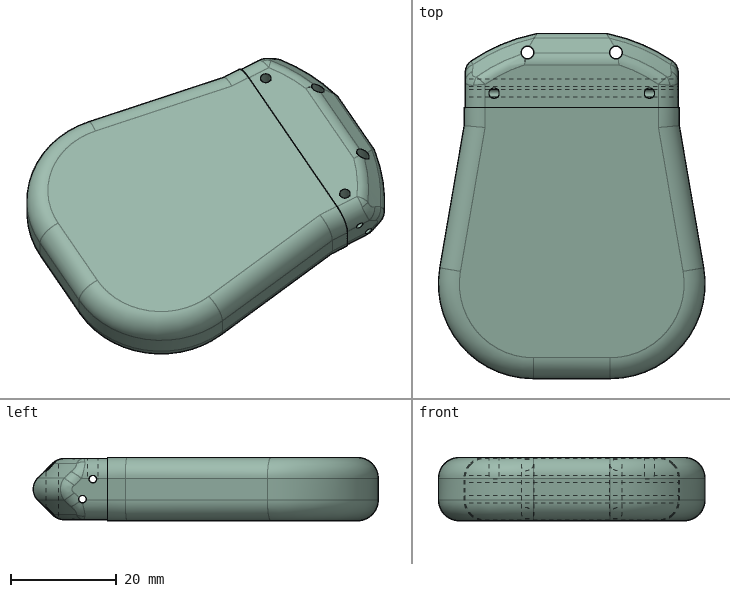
import cadquery as cq
import math

thickness = 12.0
body_half_width = 25.245
corner_radius = 17.95
neck_half_width = 20.4
neck_start_y = 47.9
body_end_y = 51.3
body_edge_radius = 4.0

step = 0.2
tip_y = 65.3
head_half_width = neck_half_width - step
head_half_thickness = thickness / 2 - step
nose_corner_radius = 2.6
side_edge_radius = body_edge_radius - step
nose_arc_radius = 33.95
nose_arc_center_y = 32.0

flat_slope = 45.0
arc_slope = 50.0
flat_tip_radius = 2.95
arc_tip_radius = 3.25
flat_shoulder_radius = 3.2
arc_shoulder_radius = 2.75

cord_hole_diameter = 2.35
cord_hole_x = 8.35
cord_hole_y = 61.7
pin_hole_diameter = 1.4
pin_hole_z = 1.9
upper_pin_hole_y = 54.0
lower_pin_hole_y = 56.0
access_hole_diameter = 1.95
access_hole_x = 14.7


def make_body():
    """Extruded pad with rounded top and bottom edges and a flat end at the neck."""
    center_x = body_half_width - corner_radius
    center_y = corner_radius
    dx = neck_half_width - center_x
    dy = neck_start_y - center_y
    touch_angle = math.atan2(dy, dx) - math.acos(corner_radius / math.hypot(dx, dy))
    mid_angle = (touch_angle - math.pi / 2) / 2

    def corner_point(angle, side):
        x = center_x + corner_radius * math.cos(angle)
        return side * x, center_y + corner_radius * math.sin(angle)

    outline = (
        cq.Workplane("XY", origin=(0, 0, -thickness / 2))
        .moveTo(-center_x, 0)
        .lineTo(center_x, 0)
        .threePointArc(corner_point(mid_angle, 1), corner_point(touch_angle, 1))
        .lineTo(neck_half_width, neck_start_y)
        .lineTo(neck_half_width, body_end_y)
        .lineTo(-neck_half_width, body_end_y)
        .lineTo(-neck_half_width, neck_start_y)
        .lineTo(*corner_point(touch_angle, -1))
        .threePointArc(corner_point(mid_angle, -1), (-center_x, 0))
        .close()
    )
    pad = outline.extrude(thickness)
    return pad.faces("<Z or >Z").edges("not >Y").fillet(body_edge_radius)


def nose_profile(plane, root, tip, slope, tip_radius, shoulder_radius):
    """Closed section of the nose, symmetric in Z and pointing along the first axis of the plane."""
    angle = math.radians(slope)
    half = head_half_thickness
    tip_center = tip - tip_radius
    tip_end = tip_center + tip_radius * math.sin(angle)
    tip_end_z = tip_radius * math.cos(angle)
    shoulder_z = half - shoulder_radius * (1 - math.cos(angle))
    shoulder_end = tip_end - (shoulder_z - tip_end_z) / math.tan(angle)
    shoulder_center = shoulder_end - shoulder_radius * math.sin(angle)
    middle = shoulder_center + shoulder_radius * math.sin(angle / 2)
    middle_z = half - shoulder_radius * (1 - math.cos(angle / 2))
    return (
        plane
        .moveTo(root, -half)
        .lineTo(shoulder_center, -half)
        .threePointArc((middle, -middle_z), (shoulder_end, -shoulder_z))
        .lineTo(tip_end, -tip_end_z)
        .threePointArc((tip, 0), (tip_end, tip_end_z))
        .lineTo(shoulder_end, shoulder_z)
        .threePointArc((middle, middle_z), (shoulder_center, half))
        .lineTo(root, half)
        .close()
    )


def make_head():
    """Straight wedge trimmed by a turned wedge and by a slab with rounded sides."""
    straight = nose_profile(
        cq.Workplane("YZ", origin=(-head_half_width, 0, 0)),
        body_end_y, tip_y, flat_slope, flat_tip_radius, flat_shoulder_radius,
    ).extrude(2 * head_half_width)
    turned = nose_profile(
        cq.Workplane("YZ", origin=(0, nose_arc_center_y, 0)),
        0, nose_arc_radius, arc_slope, arc_tip_radius, arc_shoulder_radius,
    ).revolve(360, (0, 0, 0), (0, 1, 0))
    slab = (
        cq.Workplane("XZ", origin=(0, tip_y, 0))
        .rect(2 * head_half_width, 2 * head_half_thickness)
        .extrude(tip_y - body_end_y)
        .edges("|Y")
        .fillet(side_edge_radius)
    )
    head = straight.intersect(turned).intersect(slab)
    for side in (-1, 1):
        nearest = cq.selectors.NearestToPointSelector((side * head_half_width, tip_y, 0))
        head = head.edges(nearest).fillet(nose_corner_radius)
    return head


def drill_holes(part):
    """Cord holes through the nose, cross pin holes and their access holes."""
    cord_holes = (
        cq.Workplane("XY", origin=(0, 0, -thickness))
        .pushPoints([(-cord_hole_x, cord_hole_y), (cord_hole_x, cord_hole_y)])
        .circle(cord_hole_diameter / 2)
        .extrude(2 * thickness)
    )
    pin_holes = (
        cq.Workplane("YZ", origin=(-body_half_width, 0, 0))
        .pushPoints([(upper_pin_hole_y, pin_hole_z), (lower_pin_hole_y, -pin_hole_z)])
        .circle(pin_hole_diameter / 2)
        .extrude(2 * body_half_width)
    )
    access_holes = (
        cq.Workplane("XY", origin=(0, 0, pin_hole_z))
        .pushPoints([(-access_hole_x, upper_pin_hole_y), (access_hole_x, upper_pin_hole_y)])
        .circle(access_hole_diameter / 2)
        .extrude(thickness)
    )
    return part.cut(cord_holes).cut(pin_holes).cut(access_holes)


result = drill_holes(make_body().union(make_head()))